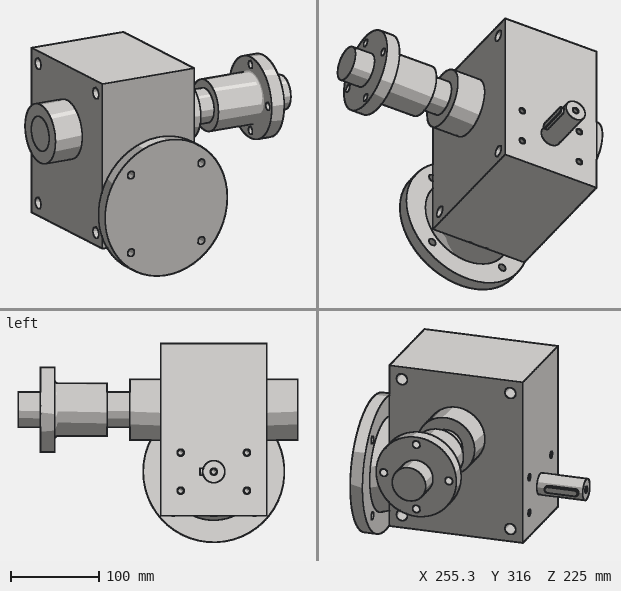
import cadquery as cq
import math


HOUSING_LENGTH = 160.0
HOUSING_WIDTH = 120.0
HOUSING_HEIGHT = 195.0
SCREW_AXIS_HEIGHT = 120.0
AXIS_DISTANCE = 70.0
BOSS_DIAMETER = 69.0
BOSS_SPAN = 190.0
MOUNTING_HOLE_DIAMETER = 13.0
MOUNTING_HOLE_SPACING_X = 130.0
MOUNTING_HOLE_SPACING_Z = 165.0

TAP_DIAMETER = 6.5
TAP_MOUTH_DIAMETER = 8.0
TAP_DEPTH = 15.8
DRILL_POINT_ANGLE = 118.0
TAP_SPACING_Y = 75.0
TAP_SPACING_Z = 43.0

NECK_LENGTH = 25.3
NECK_DIAMETER = 100.5
NECK_FLARE_DIAMETER = 110.0
MOTOR_FLANGE_DIAMETER = 160.0
MOTOR_FLANGE_THICKNESS = 15.0
MOTOR_FLANGE_BOLT_CIRCLE = 130.0
MOTOR_FLANGE_HOLE_ANGLE = 45.0
FLANGE_HOLE_DIAMETER = 9.0
FLANGE_HOLE_COUNT = 4

SHAFT_DIAMETER = 25.0
SHAFT_LENGTH = 55.0
KEY_LENGTH = 40.0
KEY_WIDTH = 8.0
KEY_HEIGHT = 7.0
KEY_CHAMFER = 0.5
KEY_TOP_FROM_AXIS = 16.0
KEY_END_GAP = 4.7

SCREW_DIAMETER = 40.0
SCREW_LENGTH = 316.0
NUT_END_GAP = 25.0
NUT_DIAMETER = 60.0
NUT_FLANGE_DIAMETER = 96.0
NUT_FLANGE_THICKNESS = 16.5
NUT_FLANGE_BOLT_CIRCLE = 78.0
NUT_LENGTH = 75.5
NUT_FILLET = 3.2

HOUSING_BASE_Z = -SCREW_AXIS_HEIGHT
HOUSING_MIDDLE_Z = HOUSING_BASE_Z + HOUSING_HEIGHT / 2
WORM_AXIS_Z = -AXIS_DISTANCE
SIDE_FACE_X = HOUSING_LENGTH / 2
MOTOR_FLANGE_X = SIDE_FACE_X + NECK_LENGTH
SHAFT_END_X = -SIDE_FACE_X - SHAFT_LENGTH
SCREW_FRONT_Y = -BOSS_SPAN / 2
NUT_REAR_Y = SCREW_FRONT_Y + SCREW_LENGTH - NUT_END_GAP


def cylinder_along_y(diameter, front_y, length):
    """Cylinder on the screw axis, from front_y toward +Y."""
    plane = cq.Plane(origin=(0, front_y, 0), xDir=(1, 0, 0), normal=(0, 1, 0))
    return cq.Workplane(plane).circle(diameter / 2).extrude(length)


def worm_axis_plane(x):
    """Plane across the worm axis: local x is +Y, local y is +Z, normal is +X."""
    return cq.Plane(origin=(x, 0, WORM_AXIS_Z), xDir=(0, 1, 0), normal=(1, 0, 0))


def tapped_hole(x, y, z):
    """Cutter for a blind hole along +X with a chamfered mouth and a drill point."""
    radius = TAP_DIAMETER / 2
    mouth_radius = TAP_MOUTH_DIAMETER / 2
    point_depth = radius / math.tan(math.radians(DRILL_POINT_ANGLE / 2))
    return (
        cq.Workplane("XY")
        .polyline([
            (0, 0),
            (0, mouth_radius),
            (mouth_radius - radius, radius),
            (TAP_DEPTH, radius),
            (TAP_DEPTH + point_depth, 0),
        ])
        .close()
        .revolve(360, (0, 0, 0), (1, 0, 0))
        .translate((x, y, z))
    )


def make_motor_flange():
    """Round flange on a concave neck whose arc starts parallel to the worm axis."""
    neck_radius = NECK_DIAMETER / 2
    flare_radius = NECK_FLARE_DIAMETER / 2
    flange_radius = MOTOR_FLANGE_DIAMETER / 2
    flare = flare_radius - neck_radius
    arc_radius = (NECK_LENGTH**2 + flare**2) / (2 * flare)
    half_arc_angle = math.asin(NECK_LENGTH / arc_radius) / 2
    arc_middle = (
        arc_radius * math.sin(half_arc_angle),
        neck_radius + arc_radius * (1 - math.cos(half_arc_angle)),
    )
    back_x = NECK_LENGTH + MOTOR_FLANGE_THICKNESS
    flange = (
        cq.Workplane("XY")
        .lineTo(back_x, 0)
        .lineTo(back_x, flange_radius)
        .lineTo(NECK_LENGTH, flange_radius)
        .lineTo(NECK_LENGTH, flare_radius)
        .threePointArc(arc_middle, (0, neck_radius))
        .close()
        .revolve(360, (0, 0, 0), (1, 0, 0))
        .translate((SIDE_FACE_X, 0, WORM_AXIS_Z))
    )
    holes = (
        cq.Workplane(worm_axis_plane(MOTOR_FLANGE_X))
        .polarArray(MOTOR_FLANGE_BOLT_CIRCLE / 2, MOTOR_FLANGE_HOLE_ANGLE, 360, FLANGE_HOLE_COUNT)
        .circle(FLANGE_HOLE_DIAMETER / 2)
        .extrude(MOTOR_FLANGE_THICKNESS)
    )
    return flange.cut(holes)


def make_housing():
    """Gear block with both screw bosses, the motor flange and all its holes."""
    block = cq.Workplane("XY").box(HOUSING_LENGTH, HOUSING_WIDTH, HOUSING_HEIGHT)
    block = block.translate((0, 0, HOUSING_MIDDLE_Z))
    mounting_holes = (
        cq.Workplane("XZ", origin=(0, 0, HOUSING_MIDDLE_Z))
        .rarray(MOUNTING_HOLE_SPACING_X, MOUNTING_HOLE_SPACING_Z, 2, 2)
        .circle(MOUNTING_HOLE_DIAMETER / 2)
        .extrude(HOUSING_WIDTH / 2, both=True)
    )
    housing = block.cut(mounting_holes)
    housing = housing.union(cylinder_along_y(BOSS_DIAMETER, SCREW_FRONT_Y, BOSS_SPAN))
    housing = housing.union(make_motor_flange())
    housing = housing.cut(cylinder_along_y(SCREW_DIAMETER, SCREW_FRONT_Y, BOSS_SPAN))
    for side_y in (-1, 1):
        for side_z in (-1, 1):
            y = side_y * TAP_SPACING_Y / 2
            z = WORM_AXIS_Z + side_z * TAP_SPACING_Z / 2
            housing = housing.cut(tapped_hole(-SIDE_FACE_X, y, z))
    return housing


def make_key():
    """Round-ended key on the +Y side of the worm shaft, chamfered along its top."""
    middle_x = SHAFT_END_X + KEY_END_GAP + KEY_LENGTH / 2
    seat_y = KEY_TOP_FROM_AXIS - KEY_HEIGHT
    plane = cq.Plane(origin=(middle_x, seat_y, WORM_AXIS_Z), xDir=(1, 0, 0), normal=(0, 1, 0))
    return (
        cq.Workplane(plane)
        .slot2D(KEY_LENGTH, KEY_WIDTH)
        .extrude(KEY_HEIGHT)
        .faces(">Y")
        .chamfer(KEY_CHAMFER)
    )


def make_worm_shaft(key):
    """Shaft stub against the housing, with a centre hole and a seat for the key."""
    shaft = cq.Workplane(worm_axis_plane(SHAFT_END_X)).circle(SHAFT_DIAMETER / 2).extrude(SHAFT_LENGTH)
    return shaft.cut(tapped_hole(SHAFT_END_X, 0, WORM_AXIS_Z)).cut(key)


def make_screw():
    """Plain screw spindle through the housing and the nut."""
    return cylinder_along_y(SCREW_DIAMETER, SCREW_FRONT_Y, SCREW_LENGTH)


def make_nut():
    """Flanged nut, its flange at the rear and a fillet where the sleeve meets it."""
    nut_front_y = NUT_REAR_Y - NUT_LENGTH
    flange_front_y = NUT_REAR_Y - NUT_FLANGE_THICKNESS
    sleeve_radius = NUT_DIAMETER / 2
    flange_radius = NUT_FLANGE_DIAMETER / 2
    bore_radius = SCREW_DIAMETER / 2
    nut = (
        cq.Workplane("XY")
        .moveTo(bore_radius, nut_front_y)
        .lineTo(sleeve_radius, nut_front_y)
        .lineTo(sleeve_radius, flange_front_y - NUT_FILLET)
        .tangentArcPoint((sleeve_radius + NUT_FILLET, flange_front_y), relative=False)
        .lineTo(flange_radius, flange_front_y)
        .lineTo(flange_radius, NUT_REAR_Y)
        .lineTo(bore_radius, NUT_REAR_Y)
        .close()
        .revolve(360, (0, 0, 0), (0, 1, 0))
    )
    holes = (
        cq.Workplane("XZ", origin=(0, NUT_REAR_Y, 0))
        .polarArray(NUT_FLANGE_BOLT_CIRCLE / 2, 0, 360, FLANGE_HOLE_COUNT)
        .circle(FLANGE_HOLE_DIAMETER / 2)
        .extrude(NUT_FLANGE_THICKNESS)
    )
    return nut.cut(holes)


housing = make_housing()
key = make_key()
worm_shaft = make_worm_shaft(key)
screw = make_screw()
nut = make_nut()

result = cq.Compound.makeCompound([
    housing.val(),
    worm_shaft.val(),
    key.val(),
    screw.val(),
    nut.val(),
])